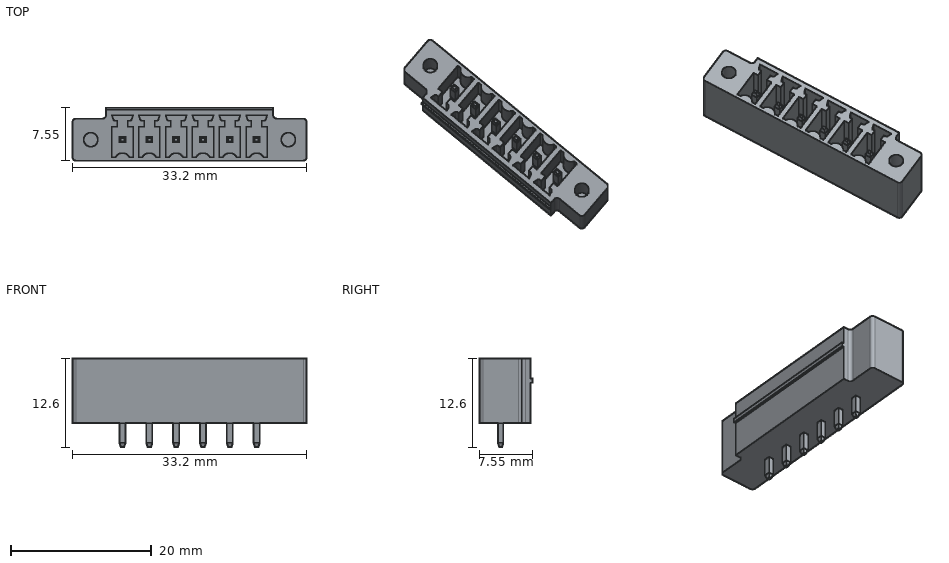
import cadquery as cq


contact_count = 6
pitch = 3.81
contact_width = 0.9
contact_thickness = 0.8
contact_bottom = -3.4
contact_top = 7.8
tip_length = 0.6
tip_inset = 0.2

housing_length = 33.25
housing_height = 9.2
front_y = -3.0
flange_back_y = 3.0
back_y = 4.25
back_block_length = 23.75
corner_radius = 0.5

rib_projection = 0.3
rib_bottom = 5.7
rib_height = 0.65

floor_z = 1.2
cavity_width = 3.0
cavity_front_y = -2.5
cavity_back_y = 1.8
neck_width = 1.5
neck_back_y = 2.7
dovetail_back_y = 3.5
dovetail_front_width = 2.5
dovetail_corner_radius = 0.25
cavity_bump_radius = 1.1

screw_hole_diameter = 2.0
screw_hole_end_distance = 2.6
screw_hole_depth = 7.0

contact_xs = [(i - (contact_count - 1) / 2) * pitch for i in range(contact_count)]


def box(x_center, width, y_min, y_max, z_min, height):
    """Upright box, centred on x_center."""
    return (
        cq.Workplane("XY", origin=(x_center, (y_min + y_max) / 2, z_min))
        .box(width, y_max - y_min, height, centered=(True, True, False))
    )


def make_housing():
    """Flanged block with a raised back section; all upright edges are rounded except the back corners."""
    main_block = box(0, housing_length, front_y, flange_back_y, 0, housing_height)
    back_block = box(0, back_block_length, front_y, back_y, 0, housing_height)
    rounded_edges = (
        main_block.union(back_block)
        .edges("|Z")
        .edges(cq.selectors.BoxSelector(
            (-housing_length, front_y - corner_radius, -housing_height),
            (housing_length, flange_back_y + corner_radius, 2 * housing_height),
        ))
    )
    return rounded_edges.fillet(corner_radius)


def make_rib():
    """Thin rib running the length of the raised back section."""
    return box(0, back_block_length, dovetail_back_y, back_y + rib_projection, rib_bottom, rib_height)


def make_cavity(x):
    """Plug cavity: wide chamber with a bump on its front wall, a keying neck and a dovetail slot behind."""
    depth = housing_height - floor_z
    chamber = box(x, cavity_width, cavity_front_y, cavity_back_y, floor_z, depth)
    neck = box(x, neck_width, cavity_back_y, neck_back_y, floor_z, depth)
    dovetail = (
        cq.Workplane("XY", origin=(x, 0, floor_z))
        .moveTo(-dovetail_front_width / 2, neck_back_y)
        .lineTo(dovetail_front_width / 2, neck_back_y)
        .lineTo(cavity_width / 2, dovetail_back_y)
        .lineTo(-cavity_width / 2, dovetail_back_y)
        .close()
        .extrude(depth)
        .edges("|Z")
        .edges("<Y")
        .fillet(dovetail_corner_radius)
    )
    bump = cq.Workplane("XY", origin=(x, front_y, floor_z)).circle(cavity_bump_radius).extrude(depth)
    return chamber.cut(bump).union(neck).union(dovetail)


def make_tip(x, base_z, direction):
    """Tapered contact end, growing from base_z up (direction 1) or down (direction -1)."""
    return (
        cq.Workplane("XY", origin=(x, 0, base_z))
        .rect(contact_width, contact_thickness)
        .workplane(offset=direction * tip_length)
        .rect(contact_width - 2 * tip_inset, contact_thickness - 2 * tip_inset)
        .loft(combine=True)
    )


def make_contact(x):
    """Rectangular contact pin, tapered at both ends."""
    shank_bottom = contact_bottom + tip_length
    shank_top = contact_top - tip_length
    shank = box(
        x, contact_width, -contact_thickness / 2, contact_thickness / 2, shank_bottom, shank_top - shank_bottom
    )
    return shank.union(make_tip(x, shank_top, 1)).union(make_tip(x, shank_bottom, -1))


def make_screw_holes():
    """One hole in each end flange."""
    hole_x = housing_length / 2 - screw_hole_end_distance
    return (
        cq.Workplane("XY", origin=(0, 0, housing_height))
        .pushPoints([(-hole_x, 0), (hole_x, 0)])
        .circle(screw_hole_diameter / 2)
        .extrude(-screw_hole_depth)
    )


result = make_housing().union(make_rib()).cut(make_screw_holes())
for contact_x in contact_xs:
    result = result.cut(make_cavity(contact_x))
for contact_x in contact_xs:
    result = result.union(make_contact(contact_x))